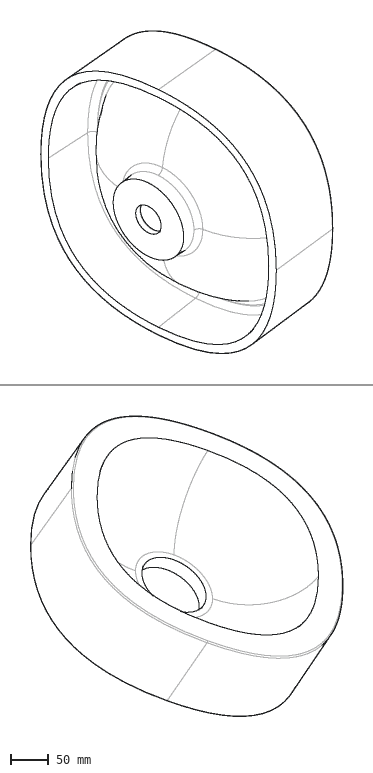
import cadquery as cq
import math


SQUARE_ROUND = 2 / 3
CIRCLE_ROUND = 4 / 3 * (math.sqrt(2) - 1)

skirt_half_width = 404.19 / 2
skirt_height = 120.0
skirt_wall = 13.0
outer_draft = math.radians(0.6)
inner_draft = math.radians(3.0)
rim_fillet = 2.0

bowl_bottom = 7.5
bowl_flat_radius = 57.0
bowl_arc_radius = 120.0
bowl_wall = 13.0
bowl_sections = 7
groove_fillet = 9.2
groove_depth = 85.5

hub_radius = 60.5
hub_draft = math.radians(2.0)
hub_drop = 20.98
hub_fillet = 9.0
hub_floor = 11.0
hub_wall = 13.0
bore_radius = 21.8
bore_fillet = 2.0

edge_search_margin = 2.0

cap_thickness = 10.0

bowl_arc_center = bowl_bottom + bowl_arc_radius
bowl_floor = bowl_bottom + bowl_wall
hub_face = -hub_drop
recess_floor = hub_face + hub_floor
recess_radius = hub_radius - hub_wall


def square_round(half_width, y, roundness):
    """Closed outline of four cubic quarters in the plane at height y."""
    handle = half_width * roundness
    quarter = [(half_width, 0), (half_width, handle), (handle, half_width), (0, half_width)]
    edges = []
    for _ in range(4):
        edges.append(cq.Edge.makeBezier([cq.Vector(x, y, z) for x, z in quarter]))
        quarter = [(-z, x) for x, z in quarter]
    return cq.Wire.assembleEdges(edges)


def drafted_block(half_width, height, draft):
    """Square-round block from the foot plane, narrowing by the draft angle."""
    top_half_width = half_width - height * math.tan(draft)
    foot = square_round(half_width, 0, SQUARE_ROUND)
    top = square_round(top_half_width, height, SQUARE_ROUND)
    return cq.Workplane(obj=cq.Solid.makeLoft([foot, top], True))


def bowl_dome(arc_radius):
    """Dome between the rim plane and its flat bottom, square-round at the rim and round at the flat."""
    rim_angle = math.acos((bowl_arc_center - skirt_height) / arc_radius)
    wires = []
    for i in range(bowl_sections):
        angle = rim_angle * i / (bowl_sections - 1)
        half_width = bowl_flat_radius + arc_radius * math.sin(angle)
        y = bowl_arc_center - arc_radius * math.cos(angle)
        roundness = CIRCLE_ROUND + (SQUARE_ROUND - CIRCLE_ROUND) * math.sin(angle)
        wires.append(square_round(half_width, y, roundness))
    return cq.Workplane(obj=cq.Solid.makeLoft(wires, False))


def cylinder(radius, y_start, y_end):
    """Round bar along Y."""
    return cq.Workplane("XZ", origin=(0, y_start, 0)).circle(radius).extrude(y_start - y_end)


def edges_around_axis(body, radius, y):
    """Edges near height y whose centers lie within about the given radius of the axis."""
    reach = radius + edge_search_margin
    low = (-reach, y - edge_search_margin, -reach)
    high = (reach, y + edge_search_margin, reach)
    return body.edges(cq.selectors.BoxSelector(low, high))


def make_groove():
    """Hollow under the skirt, around the bowl and below its bottom, with a rounded ceiling."""
    hollow = drafted_block(skirt_half_width - skirt_wall, groove_depth, inner_draft)
    hollow = hollow.cut(bowl_dome(bowl_arc_radius))
    return hollow.faces(">Y").edges().fillet(groove_fillet)


def make_hub():
    """Tapered hub reaching down from the bowl bottom."""
    taper_height = bowl_floor - hub_face
    top_radius = hub_radius + taper_height * math.tan(hub_draft)
    return (
        cq.Workplane("YZ")
        .polyline([(hub_face, 0), (hub_face, hub_radius), (bowl_floor, top_radius), (bowl_floor, 0)])
        .close()
        .revolve(360, (0, 0, 0), (1, 0, 0))
    )


def make_basin():
    """Skirt, bowl and hub with the bowl hollow, the hub recess and the drain bore."""
    skirt = drafted_block(skirt_half_width, skirt_height, outer_draft)
    skirt = skirt.faces(">Y").edges().fillet(rim_fillet)
    basin = skirt.cut(make_groove())
    basin = basin.union(make_hub())
    basin = edges_around_axis(basin, hub_radius, bowl_bottom).fillet(hub_fillet)
    basin = basin.cut(bowl_dome(bowl_arc_radius - bowl_wall))
    basin = basin.cut(cylinder(recess_radius, recess_floor, bowl_floor))
    basin = basin.cut(cylinder(bore_radius, hub_face, recess_floor))
    return edges_around_axis(basin, bore_radius, recess_floor).fillet(bore_fillet)


def make_cap():
    """Disc lying on the floor of the hub recess, closing the bore."""
    return cylinder(recess_radius, recess_floor, recess_floor + cap_thickness)


basin = make_basin()
cap = make_cap()
result = cq.Compound.makeCompound([basin.val(), cap.val()])